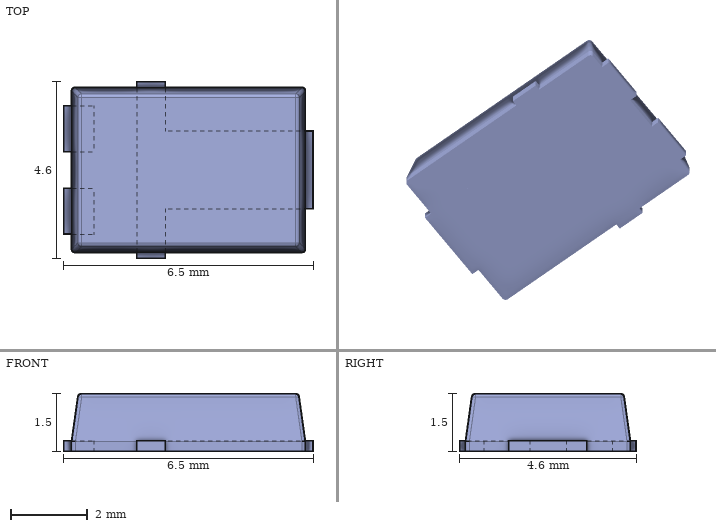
import cadquery as cq
import math

overall_length = 6.5
overall_width = 4.6
overall_height = 1.5
end_lead_reach = 0.2
side_tab_reach = 0.15
housing_length = overall_length - 2 * end_lead_reach
housing_width = overall_width - 2 * side_tab_reach
base_height = 0.26
wall_draft = 8
edge_radius = 0.1

lead_thickness = 0.28
anode_width = 1.2
anode_spacing = 2.145
anode_length = 0.78
cathode_width = 2.035
tab_width = 0.75
tab_center_x = -0.975


def block(x_min, x_max, y_center, y_width):
    """Plate of lead thickness lying on Z = 0."""
    return (
        cq.Workplane("XY")
        .center((x_min + x_max) / 2, y_center)
        .rect(x_max - x_min, y_width)
        .extrude(lead_thickness)
    )


def make_anode(y_center):
    """Plain lead leaving the housing at -X."""
    outer_end = -overall_length / 2
    return block(outer_end, outer_end + anode_length, y_center, anode_width)


def make_cathode():
    """T-shaped plate: a crossbar ending in both side tabs and a stem to +X."""
    half_tab = tab_width / 2
    crossbar = block(tab_center_x - half_tab, tab_center_x + half_tab, 0, overall_width)
    stem = block(tab_center_x, overall_length / 2, 0, cathode_width)
    return crossbar.union(stem)


def make_housing(leads):
    """Tapered block with rounded corners and top edges, recessed for the leads."""
    taper_height = overall_height - base_height
    top_inset = taper_height * math.tan(math.radians(wall_draft))
    base = cq.Workplane("XY").rect(housing_length, housing_width).extrude(base_height)
    upper = (
        cq.Workplane("XY", origin=(0, 0, base_height))
        .rect(housing_length, housing_width)
        .workplane(offset=taper_height)
        .rect(housing_length - 2 * top_inset, housing_width - 2 * top_inset)
        .loft(ruled=True)
    )
    housing = base.union(upper)
    corner_edges = housing.edges("not #Z")
    top_edges = housing.faces(">Z").edges()
    housing = housing.newObject(corner_edges.vals() + top_edges.vals()).fillet(edge_radius)
    for lead in leads:
        housing = housing.cut(lead)
    return housing


anodes = [make_anode(side * anode_spacing / 2) for side in (-1, 1)]
cathode = make_cathode()
housing = make_housing([*anodes, cathode])

result = cq.Compound.makeCompound(
    [housing.val(), cathode.val(), *[anode.val() for anode in anodes]]
)